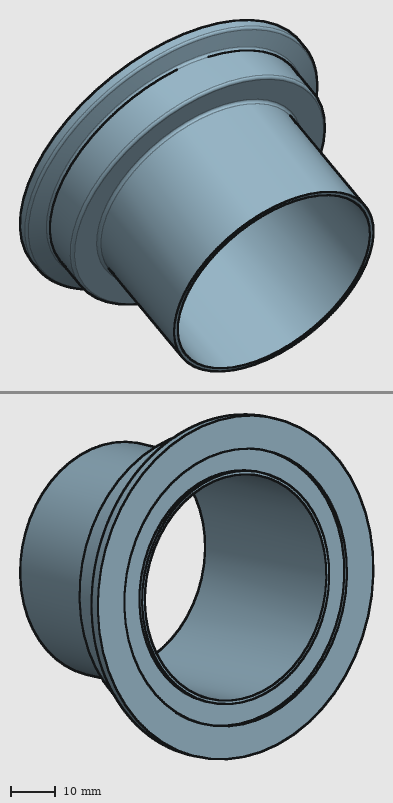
import cadquery as cq
import math

total_length = 44.5

flange_diameter = 77.5
flange_rim_width = 2.6
flange_back_angle = 16.5

hub_diameter = 67.5
hub_end = 13.7

tube_outer_diameter = 53.0
tube_wall = 1.0

recess_diameter = 62.6
recess_depth = 1.0
raised_ring_diameter = 52.6

corner_radius = 0.7

flange_radius = flange_diameter / 2
hub_radius = hub_diameter / 2
tube_radius = tube_outer_diameter / 2
bore_radius = tube_radius - tube_wall
recess_radius = recess_diameter / 2
raised_ring_radius = raised_ring_diameter / 2
slope_run = (flange_radius - hub_radius) * math.tan(math.radians(flange_back_angle))
slope_end = flange_rim_width + slope_run


def ferrule_body():
    """Revolve the half section, drawn as (x, radius), about the X axis."""
    section = [
        (0, bore_radius),
        (0, raised_ring_radius),
        (recess_depth, raised_ring_radius),
        (recess_depth, recess_radius),
        (0, recess_radius),
        (0, flange_radius),
        (flange_rim_width, flange_radius),
        (slope_end, hub_radius),
        (hub_end, hub_radius),
        (hub_end, tube_radius),
        (total_length, tube_radius),
        (total_length, bore_radius),
    ]
    profile = cq.Workplane("XZ").polyline(section).close()
    return profile.revolve(360, (0, 0, 0), (1, 0, 0))


def round_corner(body, x, radius):
    """Round the circular edge of the given radius lying at x."""
    tolerance = 0.01
    reach = radius + tolerance
    corner = cq.selectors.BoxSelector(
        (x - tolerance, -reach, -reach), (x + tolerance, reach, reach), boundingbox=True
    )
    rings = body.edges(corner).edges("%CIRCLE")
    outer_ring = rings.filter(lambda edge: abs(edge.radius() - radius) < tolerance)
    return outer_ring.fillet(corner_radius)


result = ferrule_body()
for corner_x, edge_radius in (
    (flange_rim_width, flange_radius),
    (slope_end, hub_radius),
    (hub_end, hub_radius),
    (hub_end, tube_radius),
):
    result = round_corner(result, corner_x, edge_radius)